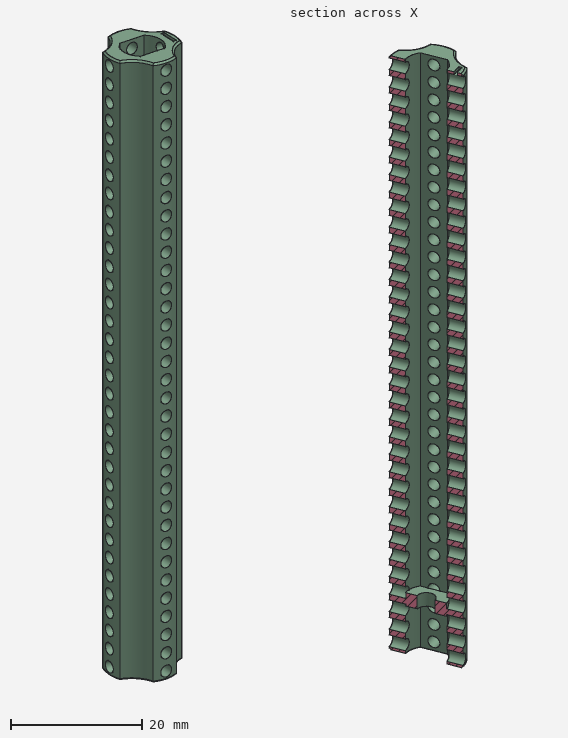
import cadquery as cq
import math

length = 106.2
outer_diameter = 12.5
lobe_count = 4
lobe_width = 4.5
crest_radius = 6.0
flute_radius = 5.0
end_chamfer = 0.3

bore_diameter = 7.0
bore_flat_width = 5.3
floor_top = 10.9
floor_thickness = 2.4
screw_hole_diameter = 3.0

hole_diameter = 2.0
hole_count = 34

mark_length = 3.2
mark_width = 0.5
mark_depth = 0.5
mark_offset = 5.0

hole_pitch = length / hole_count
outer_radius = outer_diameter / 2


def polar(radius, angle):
    """Point at a radius and an angle from +X."""
    return (radius * math.cos(angle), radius * math.sin(angle))


def fluted_body():
    """Bar with round-crested lobes and a concave flute between neighbours."""
    lobe_step = 2 * math.pi / lobe_count
    half_crest = math.asin(lobe_width / 2 / crest_radius)
    corner_height = outer_radius - crest_radius * (1 - math.cos(half_crest))
    corner_radius = math.hypot(corner_height, lobe_width / 2)
    corner_angle = math.atan2(lobe_width / 2, corner_height)
    outline = cq.Workplane("XY").moveTo(*polar(corner_radius, -corner_angle))
    for lobe in range(lobe_count):
        crest = lobe * lobe_step
        outline = outline.threePointArc(
            polar(outer_radius, crest), polar(corner_radius, crest + corner_angle)
        )
        next_corner = polar(corner_radius, crest + lobe_step - corner_angle)
        outline = outline.radiusArc(next_corner, flute_radius)
    return outline.close().extrude(length).faces("<Z or >Z").chamfer(end_chamfer)


def flat_sided_bore(bottom, top):
    """Round bore with two flats facing along X."""
    height = top - bottom
    base = cq.Workplane("XY").workplane(offset=bottom)
    cylinder = base.circle(bore_diameter / 2).extrude(height)
    slab = base.rect(bore_flat_width, bore_diameter).extrude(height)
    return cylinder.intersect(slab)


def cross_holes(plane):
    """One row of evenly pitched holes running right through the bar."""
    return (
        cq.Workplane(plane)
        .center(0, length / 2)
        .rarray(hole_pitch, hole_pitch, 1, hole_count)
        .circle(hole_diameter / 2)
        .extrude(outer_diameter, both=True)
    )


def end_mark():
    """Shallow slot in the top face of the +Y lobe."""
    return (
        cq.Workplane("XY")
        .workplane(offset=length - mark_depth)
        .center(0, mark_offset)
        .rect(mark_length, mark_width)
        .extrude(mark_depth)
    )


floor_bottom = floor_top - floor_thickness
bore_floor = flat_sided_bore(floor_bottom, floor_top)
screw_hole = cq.Workplane("XY").circle(screw_hole_diameter / 2).extrude(length)

result = fluted_body().cut(flat_sided_bore(0, length))
result = result.cut(cross_holes("XZ")).cut(cross_holes("YZ"))
result = result.union(bore_floor.cut(screw_hole))
result = result.cut(end_mark())